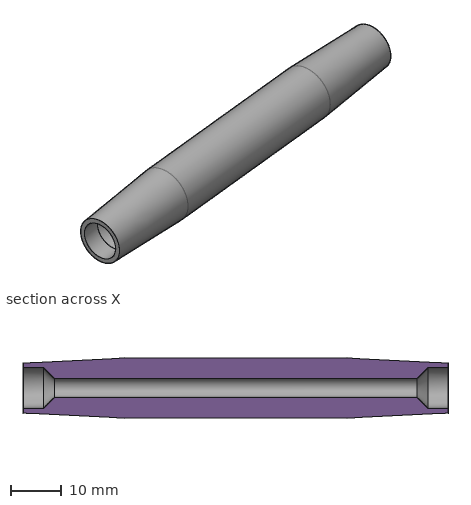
import cadquery as cq
import math

length = 84.0
body_diameter = 12.0
taper_length = 20.0
tip_diameter = 10.0

through_diameter = 3.6
socket_diameter = 8.0
socket_depth = 4.0
cone_included_angle = 90.0

half_length = length / 2
body_radius = body_diameter / 2
tip_radius = tip_diameter / 2
through_radius = through_diameter / 2
socket_radius = socket_diameter / 2
shoulder_y = half_length - taper_length
cone_length = (socket_radius - through_radius) / math.tan(math.radians(cone_included_angle / 2))
socket_floor_y = half_length - socket_depth
cone_end_y = socket_floor_y - cone_length


def revolve_about_y(half_profile):
    """Mirror (radius, y) points across y = 0 and revolve them with the axis into a solid."""
    mirrored = [(radius, -y) for radius, y in reversed(half_profile)]
    outline = [(0, half_length)] + half_profile + mirrored + [(0, -half_length)]
    return cq.Workplane("XY").polyline(outline).close().revolve(360, (0, 0, 0), (0, 1, 0))


handle = revolve_about_y([(tip_radius, half_length), (body_radius, shoulder_y)])

bore = revolve_about_y([
    (socket_radius, half_length),
    (socket_radius, socket_floor_y),
    (through_radius, cone_end_y),
])

result = handle.cut(bore)